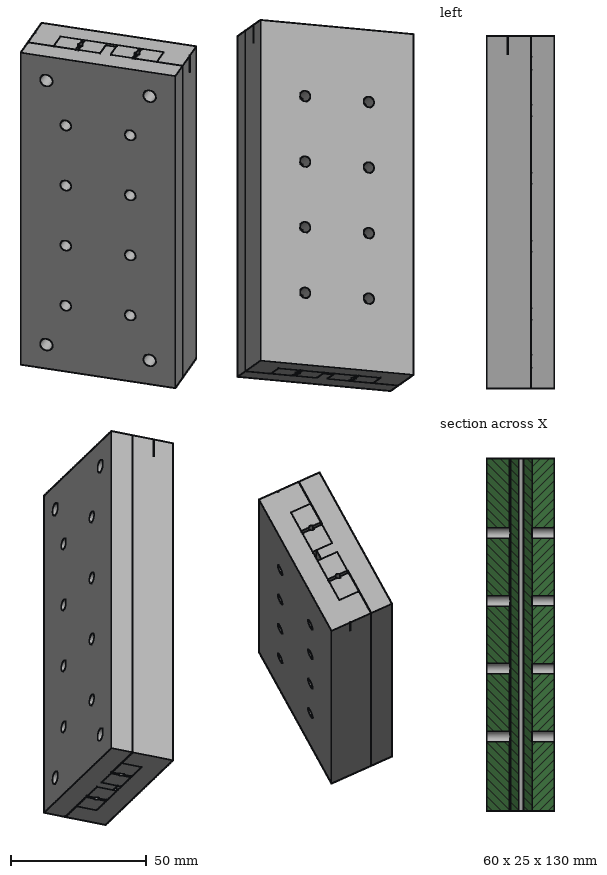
import cadquery as cq

WIDTH = 60.0
DEPTH = 25.0
HEIGHT = 130.0
FRONT_Y = -DEPTH / 2
BACK_Y = DEPTH / 2

HOUSING_DEPTH = 16.2
CHANNEL_WIDTH = 40.0
CHANNEL_DEPTH = 8.0
SEAT_Y = BACK_Y - HOUSING_DEPTH
CHANNEL_FLOOR_Y = SEAT_Y + CHANNEL_DEPTH

COVER_GAP = 0.2
RIB_WIDTH = 4.0
RIB_CLEARANCE = 1.5

SLIT_WIDTH = 1.0
BAR_WIDTH = ((CHANNEL_WIDTH - RIB_WIDTH) / 2 - SLIT_WIDTH) / 2
INNER_BAR_X = (RIB_WIDTH + BAR_WIDTH) / 2
OUTER_BAR_X = (CHANNEL_WIDTH - BAR_WIDTH) / 2
SLIT_X = (RIB_WIDTH + SLIT_WIDTH) / 2 + BAR_WIDTH
PAD_WIDTH = RIB_WIDTH + 2 * BAR_WIDTH
BORE_DIAMETER = 2.0

CORNER_HOLE_DIAMETER = 4.8
CORNER_HOLE_INSET = 10.0
CORNER_COLUMNS = 2
CORNER_ROWS = 2
COVER_HOLE_DIAMETER = 4.2
HOUSING_HOLE_DIAMETER = 4.0
HOLE_COLUMNS = 2
HOLE_ROWS = 4
HOLE_ROW_SPAN = 75.0
HOLE_PITCH = HOLE_ROW_SPAN / (HOLE_ROWS - 1)

GROOVE_WIDTH = 0.4
GROOVE_LENGTH = 6.8
GROOVE_DEPTH = 0.2
GROOVE_FROM_BACK = 7.8
GROOVE_Y = BACK_Y - GROOVE_FROM_BACK


def block(width, y_start, y_end, x=0.0):
    """Full-height block centred on x, between two Y levels."""
    return cq.Workplane("XY").box(width, y_end - y_start, HEIGHT).translate((x, (y_start + y_end) / 2, 0))


def hole_cutters(x_spacing, z_spacing, columns, rows, diameter):
    """Grid of cylinders along Y that pass right through the block."""
    return (
        cq.Workplane("XZ")
        .rarray(x_spacing, z_spacing, columns, rows)
        .circle(diameter / 2)
        .extrude(DEPTH, both=True)
    )


def bar_hole_cutters(diameter):
    """Cylinders for the hole grid over the bars, shared by cover and housing."""
    return hole_cutters(HOLE_PITCH, HOLE_PITCH, HOLE_COLUMNS, HOLE_ROWS, diameter)


def make_housing():
    housing = block(WIDTH, SEAT_Y, BACK_Y)
    housing = housing.cut(block(CHANNEL_WIDTH, SEAT_Y, CHANNEL_FLOOR_Y))
    housing = housing.cut(bar_hole_cutters(HOUSING_HOLE_DIAMETER))
    for side in (-1, 1):
        groove = cq.Workplane("XY").box(2 * GROOVE_DEPTH, GROOVE_WIDTH, 2 * GROOVE_LENGTH)
        housing = housing.cut(groove.translate((side * WIDTH / 2, GROOVE_Y, HEIGHT / 2)))
    return housing


def make_cover():
    cover = block(WIDTH, FRONT_Y, SEAT_Y - COVER_GAP)
    cover = cover.union(block(PAD_WIDTH, FRONT_Y, SEAT_Y))
    cover = cover.union(block(RIB_WIDTH, FRONT_Y, CHANNEL_FLOOR_Y - RIB_CLEARANCE))
    corner_x_spacing = WIDTH - 2 * CORNER_HOLE_INSET
    corner_z_spacing = HEIGHT - 2 * CORNER_HOLE_INSET
    corner_holes = hole_cutters(
        corner_x_spacing, corner_z_spacing, CORNER_COLUMNS, CORNER_ROWS, CORNER_HOLE_DIAMETER
    )
    return cover.cut(corner_holes).cut(bar_hole_cutters(COVER_HOLE_DIAMETER))


def make_bar(x):
    """Full-height bar centred on x; a round bore along Z, centred in the slit, hollows its slit face."""
    slit_x = SLIT_X if x > 0 else -SLIT_X
    bore = (
        cq.Workplane("XY")
        .center(slit_x, (SEAT_Y + CHANNEL_FLOOR_Y) / 2)
        .circle(BORE_DIAMETER / 2)
        .extrude(HEIGHT, both=True)
    )
    return block(BAR_WIDTH, SEAT_Y, CHANNEL_FLOOR_Y, x).cut(bore)


housing = make_housing()
cover = make_cover()
bars = [make_bar(x) for x in (-OUTER_BAR_X, -INNER_BAR_X, INNER_BAR_X, OUTER_BAR_X)]

result = cq.Compound.makeCompound([housing.val(), cover.val(), *[bar.val() for bar in bars]])